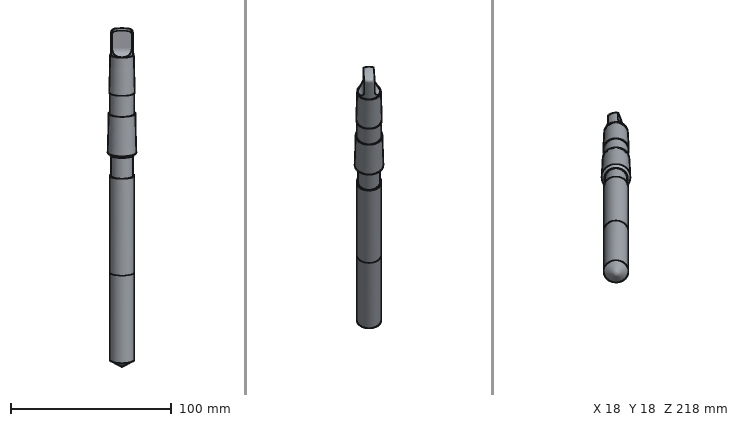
import cadquery as cq
import math

LENGTH = 218.0
JOINT_Z = 61.0
BODY_TOP_Z = 123.4
TAPER_BOTTOM_Z = 138.5
RELIEF_BOTTOM_Z = 163.5
RELIEF_TOP_Z = 177.0
TAPER_TOP_Z = 201.5

BODY_RADIUS = 15.5 / 2
NECK_RADIUS = 13.7 / 2
TAPER_RADIUS = 18.0 / 2
TAPER_SLOPE = 1 / 40
TAPER_CHAMFER = 1.7
POINT_ANGLE = 118.0

TANG_THICKNESS = 6.5
TANG_TURN = 20.0
TANG_TOP_ROUND = 2.0
TANG_DOME_HEIGHT = 0.5
FLAT_BOTTOM_Z = 206.9
RUNOUT_RADIUS = 5.5


def taper_radius(z):
    """Radius of the tapered shank at height z."""
    return TAPER_RADIUS - TAPER_SLOPE * (z - TAPER_BOTTOM_Z)


def make_cutting_end():
    """Cylinder with a conical point."""
    point_height = BODY_RADIUS / math.tan(math.radians(POINT_ANGLE / 2))
    return (
        cq.Workplane("XZ")
        .moveTo(0, 0)
        .lineTo(BODY_RADIUS, point_height)
        .lineTo(BODY_RADIUS, JOINT_Z)
        .lineTo(0, JOINT_Z)
        .close()
        .revolve(360, (0, 0), (0, 1))
    )


def make_turned_shank():
    """Body, neck, relieved taper and the round blank of the tang."""
    round_inner = NECK_RADIUS - TANG_TOP_ROUND
    round_offset = TANG_TOP_ROUND * math.sqrt(0.5)
    round_top_z = LENGTH - TANG_DOME_HEIGHT
    round_bottom_z = round_top_z - TANG_TOP_ROUND
    dome_radius = (round_inner**2 + TANG_DOME_HEIGHT**2) / (2 * TANG_DOME_HEIGHT)
    dome_mid_x = round_inner / 2
    dome_mid_z = LENGTH - dome_radius + math.sqrt(dome_radius**2 - dome_mid_x**2)
    return (
        cq.Workplane("XZ")
        .moveTo(0, JOINT_Z)
        .lineTo(BODY_RADIUS, JOINT_Z)
        .lineTo(BODY_RADIUS, BODY_TOP_Z)
        .lineTo(NECK_RADIUS, BODY_TOP_Z)
        .lineTo(NECK_RADIUS, TAPER_BOTTOM_Z - TAPER_CHAMFER)
        .lineTo(TAPER_RADIUS - TAPER_CHAMFER, TAPER_BOTTOM_Z - TAPER_CHAMFER)
        .lineTo(TAPER_RADIUS, TAPER_BOTTOM_Z)
        .lineTo(taper_radius(RELIEF_BOTTOM_Z), RELIEF_BOTTOM_Z)
        .lineTo(BODY_RADIUS, RELIEF_BOTTOM_Z)
        .lineTo(BODY_RADIUS, RELIEF_TOP_Z)
        .lineTo(taper_radius(RELIEF_TOP_Z), RELIEF_TOP_Z)
        .lineTo(taper_radius(TAPER_TOP_Z), TAPER_TOP_Z)
        .lineTo(NECK_RADIUS, TAPER_TOP_Z)
        .lineTo(NECK_RADIUS, round_bottom_z)
        .threePointArc(
            (round_inner + round_offset, round_bottom_z + round_offset),
            (round_inner, round_top_z),
        )
        .threePointArc((dome_mid_x, dome_mid_z), (0, LENGTH))
        .close()
        .revolve(360, (0, 0), (0, 1))
    )


def make_flat_cutter():
    """Block that mills one flat, with a rounded lower inside corner."""
    flat_y = TANG_THICKNESS / 2
    arc_offset = RUNOUT_RADIUS * math.sqrt(0.5)
    arc_center_y = flat_y + RUNOUT_RADIUS
    half_width = TAPER_RADIUS
    return (
        cq.Workplane("YZ")
        .moveTo(flat_y, LENGTH)
        .lineTo(flat_y, FLAT_BOTTOM_Z)
        .threePointArc(
            (arc_center_y - arc_offset, FLAT_BOTTOM_Z - arc_offset),
            (arc_center_y, FLAT_BOTTOM_Z - RUNOUT_RADIUS),
        )
        .lineTo(arc_center_y, LENGTH)
        .close()
        .extrude(half_width, both=True)
    )


def make_shank():
    """Turned shank with two opposite flats on its tang."""
    shank = make_turned_shank()
    for side_angle in (0, 180):
        cutter = make_flat_cutter().rotate((0, 0, 0), (0, 0, 1), TANG_TURN + side_angle)
        shank = shank.cut(cutter)
    return shank


cutting_end = make_cutting_end()
shank = make_shank()

result = cq.Compound.makeCompound([cutting_end.val(), shank.val()])